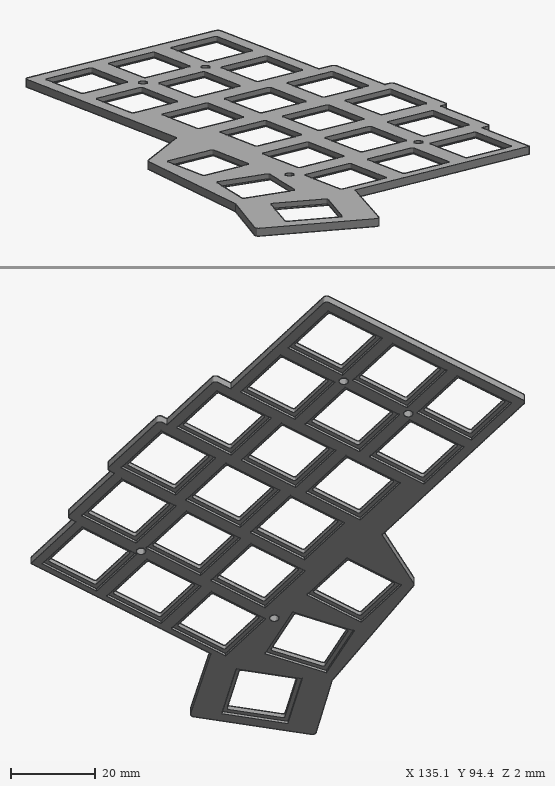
import cadquery as cq
import math

thickness = 2.0
key_pitch = 19.0
window_size = 14.0
window_corner_radius = 0.5
web_thickness = 1.25
relief_size = 16.0
border = 3.5
rows = 3
half_pitch = key_pitch / 2
stagger_step = key_pitch / 8
column_steps = [0, 0, 2, 3, 2, 1]
column_offsets = [steps * stagger_step for steps in column_steps]
corner_radius = 1.0
screw_hole_diameter = 2.2

first_key = border + window_size / 2
block_height = (rows - 1) * key_pitch + 2 * first_key
outer_column_top = 61.1
right_edge = first_key + (len(column_offsets) - 1) * key_pitch + half_pitch

inner_thumb = (first_key + 3 * key_pitch + half_pitch, -6.05, 0)
middle_thumb = (97.9, -8.35, 12)
outer_thumb = (119.67, -10.42, 24)

outer_thumb_half_width = first_key
outer_thumb_half_length = 15.25

slope_start = (57.6, 0)
slope_end = (67.0, -16.5)
thumb_bend = (105.4, -20.55)

shoulder_height = 8.1

left_hole_x = first_key + half_pitch
right_hole_x = 96.1
lower_left_hole_y = first_key + half_pitch
upper_left_hole_y = lower_left_hole_y + key_pitch
upper_right_hole_y = upper_left_hole_y + (column_offsets[4] + column_offsets[5]) / 2
lower_right_hole_y = 3.35


def column_left(column):
    """X of the border line on the left of a column."""
    return column * key_pitch


def column_right(column):
    """X of the border line on the right of a column."""
    return column * key_pitch + 2 * first_key


def column_top(column):
    """Y of the plate edge above a column."""
    return block_height + column_offsets[column]


def outer_thumb_point(across, along):
    """Plate position of a point given in the tilted axes of the outer thumb key."""
    x, y, tilt = outer_thumb
    angle = math.radians(tilt)
    return (
        x + across * math.cos(angle) + along * math.sin(angle),
        y - across * math.sin(angle) + along * math.cos(angle),
    )


def make_plate():
    """Flat plate with its stepped outline and rounded outer corners."""
    thumb_upper = outer_thumb_point(outer_thumb_half_width, outer_thumb_half_length)
    thumb_lower = outer_thumb_point(outer_thumb_half_width, -outer_thumb_half_length)
    rounded_corners = [
        (0, 0),
        (0, column_top(0)),
        (column_left(2), column_top(2)),
        (column_left(3), column_top(3)),
        (column_right(3), column_top(3)),
        (column_right(4), column_top(4)),
        thumb_upper,
        thumb_lower,
        slope_end,
    ]
    outline = [
        (0, 0),
        (0, column_top(0)),
        (column_left(2), column_top(0)),
        (column_left(2), column_top(2)),
        (column_left(3), column_top(2)),
        (column_left(3), column_top(3)),
        (column_right(3), column_top(3)),
        (column_right(3), column_top(4)),
        (column_right(4), column_top(4)),
        (column_right(4), outer_column_top),
        (right_edge, outer_column_top),
        (right_edge, shoulder_height),
        thumb_upper,
        thumb_lower,
        thumb_bend,
        slope_end,
        slope_start,
    ]
    plate = cq.Workplane("XY").polyline(outline).close().extrude(thickness)
    for x, y in rounded_corners:
        corner_edge = cq.selectors.NearestToPointSelector((x, y, thickness / 2))
        plate = plate.edges("|Z").edges(corner_edge).fillet(corner_radius)
    return plate


def key_window(x, y, tilt=0):
    """Round-cornered window widened by a square relief on the underside, tilted clockwise."""
    window = cq.Workplane("XY").rect(window_size, window_size).extrude(thickness)
    window = window.edges("|Z").fillet(window_corner_radius)
    relief = cq.Workplane("XY").rect(relief_size, relief_size).extrude(thickness - web_thickness)
    return window.union(relief).rotate((0, 0, 0), (0, 0, 1), -tilt).translate((x, y, 0))


def cut_finger_windows(plate):
    """Cut the staggered columns of finger-key windows."""
    for column, offset in enumerate(column_offsets):
        for row in range(rows):
            x = first_key + column * key_pitch
            y = first_key + row * key_pitch + offset
            plate = plate.cut(key_window(x, y))
    return plate


def cut_thumb_windows(plate):
    """Cut the fan of thumb-key windows."""
    for x, y, tilt in (inner_thumb, middle_thumb, outer_thumb):
        plate = plate.cut(key_window(x, y, tilt))
    return plate


def cut_screw_holes(plate):
    """Drill the through holes for the screws."""
    hole_centres = [
        (left_hole_x, lower_left_hole_y),
        (left_hole_x, upper_left_hole_y),
        (right_hole_x, lower_right_hole_y),
        (right_hole_x, upper_right_hole_y),
    ]
    holes = cq.Workplane("XY").pushPoints(hole_centres)
    holes = holes.circle(screw_hole_diameter / 2).extrude(thickness)
    return plate.cut(holes)


result = make_plate()
result = cut_finger_windows(result)
result = cut_thumb_windows(result)
result = cut_screw_holes(result)